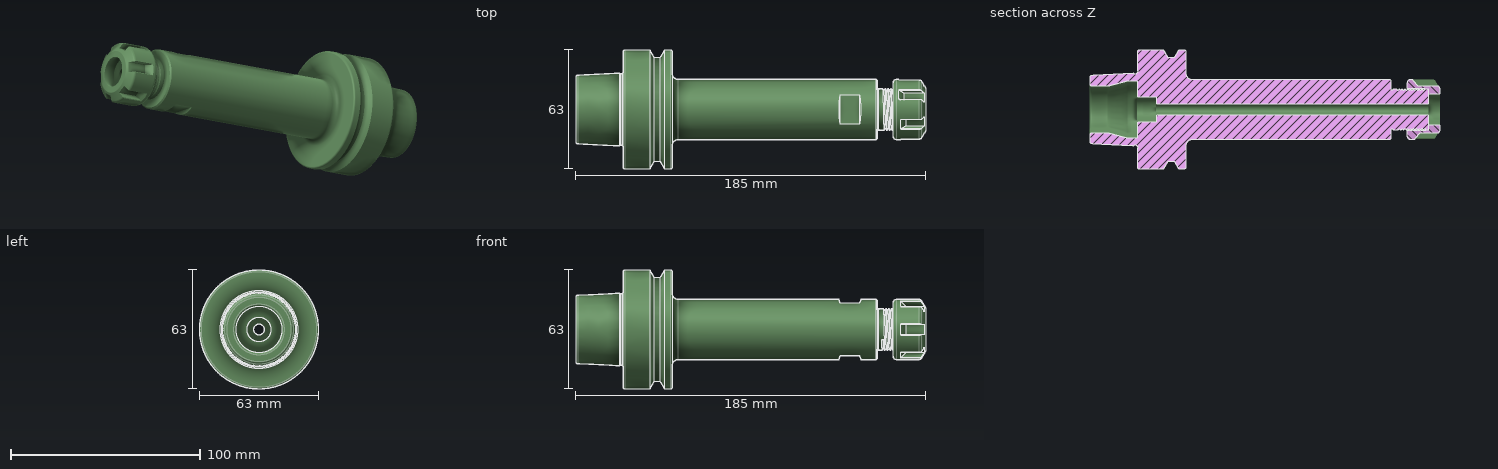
import cadquery as cq
import math


taper_length = 25.0
taper_end_radius = 18.15
taper_end_fillet = 1.2
taper_slope = 0.05

undercut_width = 1.8
undercut_depth = 0.4
undercut_ramp = 0.4
undercut_flare_start = -0.6
undercut_flare_radius = 19.9
recess_radius = 20.6
recess_depth = 0.4

flange_radius = 31.5
flange_width = 26.0
flange_fillet = 1.0
groove_center = 18.0
groove_floor_radius = 27.5
groove_floor_width = 3.2
groove_flank_angle = 30.0

shank_radius = 16.0
shank_end = 134.3
shank_root_fillet = 3.0
shank_end_chamfer = 0.7
flats_across = 28.0
flat_start = 114.6
flat_length = 10.3
flat_wall_angle = 20.0

spigot_radius = 11.0
spigot_end = 154.0
relief_width = 0.6
relief_depth = 0.5
thread_start = 137.1
thread_start_angle = -60.0
thread_pitch = 1.5
thread_depth = 0.8
thread_length = 15.0
thread_groove_width = 1.3
thread_crest_break = 0.05

mouth_radius = 12.2
mouth_fillet = 1.2
mouth_depth = 9.6
chamber_radius = 15.0
chamber_cone_angle = 15.0
chamber_end = 0.0
pocket_radius = 6.4
pocket_depth = 10.0
coolant_radius = 2.8

nut_radius = 16.0
nut_start = 142.5
nut_end = 160.0
nut_rear_fillet = 2.0
nut_nose_radius = 11.2
nut_nose_angle = 30.0
nut_nose_fillet = 1.5
nut_rim_fillet = 0.6
nut_opening_radius = 8.0
nut_slot_count = 6
nut_slot_width = 5.5
nut_slot_start = 146.4
nut_slot_ramp = 2.9
nut_slot_floor_radius = 12.5
nut_slot_edge_break = 0.4
nut_slot_back_shift = 1.0


def revolve(profile):
    """Turn a closed X-Y profile about the X axis."""
    return profile.close().revolve(360, (0, 0, 0), (1, 0, 0))


def cylinder(radius, start, end):
    return cq.Workplane("YZ").workplane(offset=start).circle(radius).extrude(end - start)


def make_taper():
    root_start = -undercut_width
    root_radius = taper_end_radius + taper_slope * (taper_length - undercut_width)
    neck_radius = root_radius - undercut_depth
    taper = revolve(
        cq.Workplane("XY")
        .moveTo(-taper_length, 0)
        .lineTo(-taper_length, taper_end_radius)
        .lineTo(root_start, root_radius)
        .lineTo(root_start + undercut_ramp, neck_radius)
        .lineTo(undercut_flare_start, neck_radius)
        .lineTo(recess_depth, undercut_flare_radius)
        .lineTo(recess_depth, 0)
    )
    return taper.faces("<X").edges().fillet(taper_end_fillet)


def make_flange():
    flange = cylinder(flange_radius, 0, flange_width).edges().fillet(flange_fillet)
    floor_half = groove_floor_width / 2
    flank_run = (flange_radius - groove_floor_radius) * math.tan(math.radians(groove_flank_angle))
    groove = revolve(
        cq.Workplane("XY")
        .moveTo(groove_center - floor_half, groove_floor_radius)
        .lineTo(groove_center + floor_half, groove_floor_radius)
        .lineTo(groove_center + floor_half + flank_run, flange_radius)
        .lineTo(groove_center - floor_half - flank_run, flange_radius)
    )
    return flange.cut(groove).cut(cylinder(recess_radius, 0, recess_depth))


def make_shank():
    root = flange_width
    corner = shank_root_fillet * (1 - math.sqrt(0.5))
    return revolve(
        cq.Workplane("XY")
        .moveTo(root, 0)
        .lineTo(root, shank_radius + shank_root_fillet)
        .threePointArc((root + corner, shank_radius + corner), (root + shank_root_fillet, shank_radius))
        .lineTo(shank_end - shank_end_chamfer, shank_radius)
        .lineTo(shank_end, shank_radius - shank_end_chamfer)
        .lineTo(shank_end, 0)
    )


def make_flat_cutter():
    """Trapezoid block above the upper flat, as long as the flat at its floor."""
    floor = flats_across / 2
    height = shank_radius
    lean = height * math.tan(math.radians(flat_wall_angle))
    flat_end = flat_start + flat_length
    return (
        cq.Workplane("XZ")
        .moveTo(flat_start, floor)
        .lineTo(flat_end, floor)
        .lineTo(flat_end + lean, floor + height)
        .lineTo(flat_start - lean, floor + height)
        .close()
        .extrude(shank_radius, both=True)
    )


def make_thread_cutter():
    """V groove swept along a right-hand helix."""
    half_width = thread_groove_width / 2
    crest = spigot_radius - thread_crest_break
    outside = spigot_radius + thread_depth
    helix = cq.Wire.makeHelix(thread_pitch, thread_length, spigot_radius)
    groove = (
        cq.Workplane("XZ")
        .moveTo(outside, -half_width)
        .lineTo(crest, -half_width)
        .lineTo(spigot_radius - thread_depth, 0)
        .lineTo(crest, half_width)
        .lineTo(outside, half_width)
        .close()
        .sweep(cq.Workplane(helix), isFrenet=True)
    )
    along_x = groove.rotate((0, 0, 0), (0, 1, 0), 90)
    return along_x.rotate((0, 0, 0), (1, 0, 0), thread_start_angle).translate((thread_start, 0, 0))


def make_spigot():
    relief_end = shank_end + relief_width
    spigot = cylinder(spigot_radius - relief_depth, shank_end, relief_end)
    spigot = spigot.union(cylinder(spigot_radius, relief_end, spigot_end))
    return spigot.cut(make_thread_cutter())


def make_bore():
    mouth = -taper_length
    lip = mouth + mouth_depth
    cone_run = (chamber_radius - mouth_radius) / math.tan(math.radians(chamber_cone_angle))
    corner = mouth_fillet * (1 - math.sqrt(0.5))
    bore = revolve(
        cq.Workplane("XY")
        .moveTo(mouth, 0)
        .lineTo(mouth, mouth_radius + mouth_fillet)
        .threePointArc((mouth + corner, mouth_radius + corner), (mouth + mouth_fillet, mouth_radius))
        .lineTo(lip, mouth_radius)
        .lineTo(lip + cone_run, chamber_radius)
        .lineTo(chamber_end, chamber_radius)
        .lineTo(chamber_end, 0)
    )
    pocket = cylinder(pocket_radius, chamber_end, chamber_end + pocket_depth)
    return bore.union(pocket).union(cylinder(coolant_radius, chamber_end, spigot_end))


def make_holder():
    holder = make_taper().union(make_flange()).union(make_shank()).union(make_spigot())
    flat_cutter = make_flat_cutter()
    for angle in (0, 180):
        holder = holder.cut(flat_cutter.rotate((0, 0, 0), (1, 0, 0), angle))
    return holder.cut(make_bore())


def make_slot_cutter():
    """Wrench slot on the -Y side, with a ramped run-out at its rear and bevelled edges."""
    ramp_end = nut_slot_start + nut_slot_ramp
    cutter_end = nut_end + nut_slot_back_shift
    side = (
        cq.Workplane("XY")
        .moveTo(nut_slot_start, -nut_radius)
        .lineTo(ramp_end, -nut_slot_floor_radius)
        .lineTo(cutter_end, -nut_slot_floor_radius)
        .lineTo(cutter_end, -nut_radius)
        .close()
        .extrude(nut_slot_width, both=True)
    )
    half_width = nut_slot_width / 2
    edge_radius = math.sqrt(nut_radius**2 - half_width**2)
    bevel_start = edge_radius - nut_slot_edge_break
    flare = nut_radius - bevel_start
    section = (
        cq.Workplane("YZ", origin=(nut_slot_start, 0, 0))
        .moveTo(0, -half_width)
        .lineTo(-bevel_start, -half_width)
        .lineTo(-nut_radius, -half_width - flare)
        .lineTo(-nut_radius, half_width + flare)
        .lineTo(-bevel_start, half_width)
        .lineTo(0, half_width)
        .close()
        .extrude(cutter_end - nut_slot_start)
    )
    return side.intersect(section)


def make_nut():
    nose_run = (nut_radius - nut_nose_radius) * math.tan(math.radians(nut_nose_angle))
    nut = revolve(
        cq.Workplane("XY")
        .moveTo(nut_start, 0)
        .lineTo(nut_start, nut_radius)
        .lineTo(nut_end - nose_run, nut_radius)
        .lineTo(nut_end, nut_nose_radius)
        .lineTo(nut_end, 0)
    )
    nut = nut.faces("<X").edges().fillet(nut_rear_fillet)
    nose_edge = cq.selectors.BoxSelector(
        (nut_end - nose_run - 0.1, -2 * nut_radius, -2 * nut_radius),
        (nut_end - nose_run + 0.1, 2 * nut_radius, 2 * nut_radius),
        boundingbox=True,
    )
    nut = nut.edges(nose_edge).fillet(nut_nose_fillet)
    nut = nut.faces(">X").edges().fillet(nut_rim_fillet)
    slot_cutter = make_slot_cutter()
    for index in range(nut_slot_count):
        angle = index * 360 / nut_slot_count
        cutter = slot_cutter.rotate((0, 0, 0), (1, 0, 0), angle)
        if 90 < angle < 270:
            cutter = cutter.translate((-nut_slot_back_shift, 0, 0))
        nut = nut.cut(cutter)
    nut = nut.cut(cylinder(spigot_radius, nut_start, spigot_end))
    return nut.cut(cylinder(nut_opening_radius, spigot_end, nut_end))


holder = make_holder()
nut = make_nut()

result = cq.Compound.makeCompound([holder.val(), nut.val()])